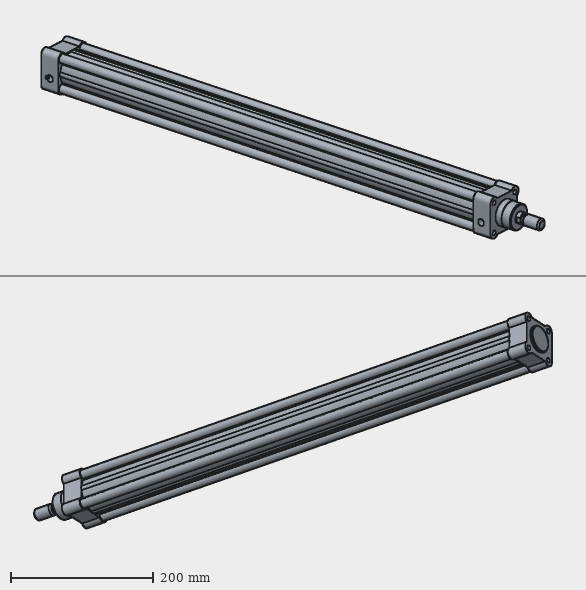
import cadquery as cq
import math

TOTAL_LENGTH = 879.0
REAR_BOSS_LENGTH = 3.5
CAP_LENGTH = 31.0
FRONT_CAP_FACE = 811.5
REAR_CAP_START = REAR_BOSS_LENGTH
BARREL_START = REAR_CAP_START + CAP_LENGTH
FRONT_CAP_START = FRONT_CAP_FACE - CAP_LENGTH

SCREW_OFFSET = 23.3
LUG_RADIUS = 9.0
RECESS_OFFSET = 28.0
CAP_HALF_WIDTH = SCREW_OFFSET + LUG_RADIUS
SCREW_HOLE_DIAMETER = 7.0
SCREW_HOLE_DEPTH = 16.0

PORT_DIAMETER = 10.5
PORT_DEPTH = 13.0
PORT_Z = -9.0
REAR_PORT_X = 19.0
FRONT_PORT_X = 795.0
CUSHION_SCREW_DIAMETER = 5.0
CUSHION_SCREW_DEPTH = 4.0
CUSHION_SCREW_X = 14.0

REAR_BOSS_DIAMETER = 40.0
REAR_BOSS_CHAMFER = 1.3
COLLAR_DIAMETER = 40.5
COLLAR_LENGTH = 10.5
NOSE_DIAMETER = 40.0
NOSE_CHAMFER = 1.3
FRONT_BOSS_LENGTH = 26.0

BARREL_LOBE_RADIUS = 7.0
BARREL_TUBE_RADIUS = 27.0
BEAD_HALF_WIDTH = 3.5
BEAD_HEIGHT = 1.3

ROD_DIAMETER = 18.0
FLATS_START = 840.0
ACROSS_FLATS = 16.0
ROD_SHOULDER = 846.0
THREAD_START = 849.0
THREAD_DIAMETER = 18.0
THREAD_CHAMFER = 3.0
NECK_DIAMETER = THREAD_DIAMETER - 2 * THREAD_CHAMFER

CORNERS = [(y, z) for y in (-SCREW_OFFSET, SCREW_OFFSET) for z in (-SCREW_OFFSET, SCREW_OFFSET)]


def section_plane(x):
    """Plane across the cylinder axis: local X is +Y and local Y is +Z."""
    return cq.Workplane("YZ", origin=(x, 0, 0))


def disc(x_start, x_end, diameter):
    """Cylinder on the cylinder axis between two X positions."""
    return section_plane(x_start).circle(diameter / 2).extrude(x_end - x_start)


def port(x, diameter, depth):
    """Blind hole cutter running inward from the flat -Y face of a cap."""
    plane = cq.Workplane("XZ", origin=(x, -CAP_HALF_WIDTH, PORT_Z))
    return plane.circle(diameter / 2).extrude(-depth)


def cap_block(x_start):
    """Square block recessed on three sides between round corner lugs, with a full flat -Y face."""
    plane = section_plane(x_start)
    block = plane.rect(2 * RECESS_OFFSET, 2 * RECESS_OFFSET).extrude(CAP_LENGTH)
    lugs = plane.pushPoints(CORNERS).circle(LUG_RADIUS).extrude(CAP_LENGTH)
    port_pad = plane.center(-CAP_HALF_WIDTH / 2, 0).rect(CAP_HALF_WIDTH, 2 * SCREW_OFFSET).extrude(CAP_LENGTH)
    return block.union(lugs).union(port_pad)


def screw_holes(x_start):
    """Four blind hole cutters, one in each corner lug."""
    return section_plane(x_start).pushPoints(CORNERS).circle(SCREW_HOLE_DIAMETER / 2).extrude(SCREW_HOLE_DEPTH)


def make_rear_cap():
    """Rear cap with a low chamfered boss, an air port and a cushion screw hole."""
    boss = disc(0, REAR_CAP_START, REAR_BOSS_DIAMETER).faces("<X").chamfer(REAR_BOSS_CHAMFER)
    cap = cap_block(REAR_CAP_START).union(boss).cut(screw_holes(REAR_CAP_START))
    cap = cap.cut(port(REAR_PORT_X, PORT_DIAMETER, PORT_DEPTH))
    return cap.cut(port(CUSHION_SCREW_X, CUSHION_SCREW_DIAMETER, CUSHION_SCREW_DEPTH))


def make_front_cap():
    """Front cap with its boss, bored through for the piston rod."""
    nose_start = FRONT_CAP_FACE + COLLAR_LENGTH
    nose_end = FRONT_CAP_FACE + FRONT_BOSS_LENGTH
    collar = disc(FRONT_CAP_FACE, nose_start, COLLAR_DIAMETER)
    nose = disc(nose_start, nose_end, NOSE_DIAMETER).faces(">X").chamfer(NOSE_CHAMFER)
    cap = cap_block(FRONT_CAP_START).union(collar).union(nose)
    cap = cap.cut(screw_holes(FRONT_CAP_FACE - SCREW_HOLE_DEPTH))
    cap = cap.cut(port(FRONT_PORT_X, PORT_DIAMETER, PORT_DEPTH))
    return cap.cut(disc(FRONT_CAP_START, nose_end, ROD_DIAMETER))


def make_barrel():
    """Round tube profile with a round lobe along each corner and a low bead along each side."""
    length = FRONT_CAP_START - BARREL_START
    plane = section_plane(BARREL_START)
    core = plane.rect(2 * SCREW_OFFSET, 2 * SCREW_OFFSET).extrude(length)
    tube = plane.circle(BARREL_TUBE_RADIUS).extrude(length)
    lobes = plane.pushPoints(CORNERS).circle(BARREL_LOBE_RADIUS).extrude(length)
    barrel = core.union(tube).union(lobes)

    bead_foot = math.sqrt(BARREL_TUBE_RADIUS**2 - BEAD_HALF_WIDTH**2)
    bead = (
        plane.moveTo(-BEAD_HALF_WIDTH, 0)
        .lineTo(-BEAD_HALF_WIDTH, bead_foot)
        .threePointArc((0, BARREL_TUBE_RADIUS + BEAD_HEIGHT), (BEAD_HALF_WIDTH, bead_foot))
        .lineTo(BEAD_HALF_WIDTH, 0)
        .close()
        .extrude(length)
    )
    for angle in (0, 90, 180, 270):
        barrel = barrel.union(bead.rotate((0, 0, 0), (1, 0, 0), angle))
    return barrel


def wrench_flat_cutter(side):
    """Block that cuts one wrench flat on the -Y (side = -1) or +Y (side = 1) side of the rod."""
    plane = section_plane(FLATS_START).center(side * (ACROSS_FLATS + ROD_DIAMETER) / 2, 0)
    return plane.rect(ROD_DIAMETER, ROD_DIAMETER).extrude(ROD_SHOULDER - FLATS_START)


def make_rod():
    """Piston rod with wrench flats, a thread undercut and a threaded end."""
    rod = disc(FRONT_CAP_START, ROD_SHOULDER, ROD_DIAMETER)
    neck = disc(ROD_SHOULDER, THREAD_START, NECK_DIAMETER)
    thread = disc(THREAD_START, TOTAL_LENGTH, THREAD_DIAMETER).faces("<X or >X").chamfer(THREAD_CHAMFER)
    for side in (-1, 1):
        rod = rod.cut(wrench_flat_cutter(side))
    return rod.union(neck).union(thread)


rear_cap = make_rear_cap()
barrel = make_barrel()
front_cap = make_front_cap()
rod = make_rod()

result = cq.Compound.makeCompound(
    [
        rear_cap.solids().val(),
        barrel.solids().val(),
        front_cap.solids().val(),
        rod.solids().val(),
    ]
)